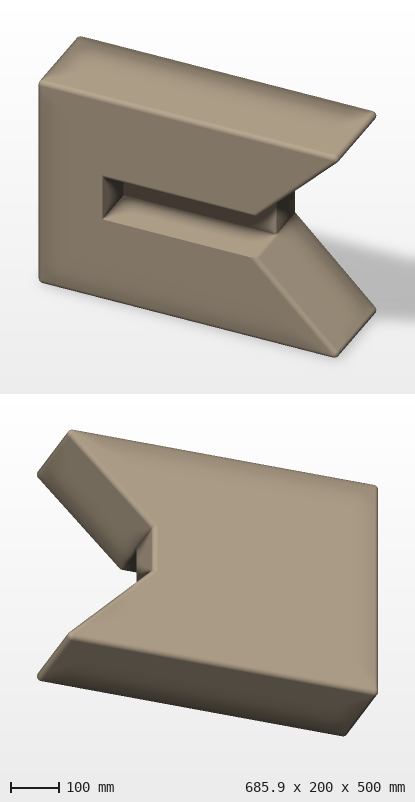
import cadquery as cq

length = 700.0
thickness = 200.0
height = 500.0
edge_radius = 10.0

throat_height = 100.0
throat_bottom = (height - throat_height) / 2
throat_top = throat_bottom + throat_height
throat_x = length - throat_bottom

slot_start_x = 150.0
slot_depth = 101.6

tolerance = 0.01


def make_block():
    """Extrude the side outline with its mouth from Y = 0 to the full thickness."""
    outline = [
        (0, 0),
        (length, 0),
        (throat_x, throat_bottom),
        (throat_x, throat_top),
        (length, height),
        (0, height),
    ]
    return cq.Workplane("XZ").polyline(outline).close().extrude(-thickness)


def cut_slot(body):
    """Open the slot from the -Y face through to the throat."""
    slot = cq.Workplane("XY").box(
        throat_x - slot_start_x, slot_depth, throat_height, centered=False
    )
    return body.cut(slot.translate((slot_start_x, 0, throat_bottom)))


def is_rounded(edge):
    """Tell whether an edge is rounded: outer border, slot lip or slot mouth."""
    center = edge.Center()
    at_throat = abs(center.x - throat_x) < tolerance
    on_slot_floor = abs(center.z - throat_bottom) < tolerance
    on_slot_end = abs(center.x - slot_start_x) < tolerance
    if center.y < tolerance:
        return not (on_slot_floor or on_slot_end)
    if center.y > thickness - tolerance:
        return True
    at_outer_corner = center.z < tolerance or center.z > height - tolerance
    at_slot_mouth = at_throat and center.y < slot_depth - tolerance
    return at_outer_corner or at_slot_mouth


def round_edges(body):
    """Round every selected edge in one pass so that the corners blend."""
    edges = [edge for edge in body.edges().vals() if is_rounded(edge)]
    return body.newObject(edges).fillet(edge_radius)


result = round_edges(cut_slot(make_block()))